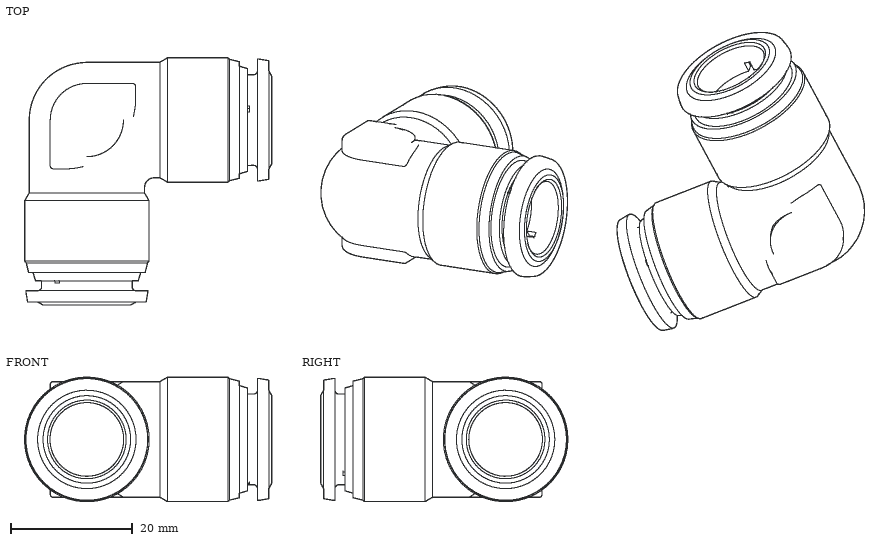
import cadquery as cq


tube_radius = 9.5
sleeve_radius = 10.25
port_length = 40.65 - sleeve_radius
crotch_fillet = 1.5

sleeve_cone_start = 12.0
sleeve_start = 13.25
sleeve_end = 23.17
chamfer_end = 23.45
chamfer_radius = 10.0
step_position = 25.1
step_outer_radius = 9.6
step_inner_radius = 8.85
body_end = 26.42
body_end_radius = 8.45

neck_radius = 7.48
neck_fillet = 0.55
collar_start = 28.0
collar_radius = 10.05
collar_taper_start = 28.3
collar_end = 29.9
collar_end_radius = 9.8
collar_edge_round = 0.2
nose_root_radius = 8.1
nose_end_radius = 7.2

bore_radius = 6.05
bore_mouth_radius = 6.45
bore_mouth_depth = 0.4
bore_floor = step_position

slot_width = 0.98
slot_end = 26.75
slot_tilt_x_port = 14.0
slot_tilt_y_port = -41.0

pad_radius = 6.0
pad_reach = 8.0
pad_edge_fillet = 0.5


def make_tubes():
    """Two equal tubes joined by a spherical outer corner."""
    x_tube = cq.Workplane("YZ").circle(tube_radius).extrude(sleeve_start)
    y_tube = cq.Workplane("XZ").circle(tube_radius).extrude(sleeve_start)
    return x_tube.union(y_tube).union(cq.Workplane("XY").sphere(tube_radius))


def make_pads():
    """L-shaped block with a round web in its inner corner, flush with the tubes above and below."""
    base = cq.Workplane("XY").workplane(offset=-tube_radius)
    height = 2 * tube_radius
    block = (
        base.moveTo(0, pad_radius)
        .lineTo(pad_reach, pad_radius)
        .lineTo(pad_reach, 0)
        .lineTo(0, 0)
        .lineTo(0, -pad_reach)
        .lineTo(-pad_radius, -pad_reach)
        .lineTo(-pad_radius, 0)
        .radiusArc((0, pad_radius), pad_radius)
        .close()
        .extrude(height)
    )
    for corner_x, corner_y in [(pad_reach, pad_radius), (-pad_radius, -pad_reach)]:
        block = block.edges(cq.NearestToPointSelector((corner_x, corner_y, 0))).fillet(pad_edge_fillet)
    inner_edges = cq.selectors.BoxSelector(
        (-pad_edge_fillet, -pad_radius, -height), (pad_radius, pad_edge_fillet, height)
    )
    rim = cq.selectors.InverseSelector(inner_edges)
    block = block.faces("<Z or >Z").edges(rim).fillet(pad_edge_fillet)
    web = base.lineTo(pad_radius, 0).radiusArc((0, -pad_radius), pad_radius).close().extrude(height)
    return block.union(web)


def make_elbow():
    """Tubes and pads, with the inner crotch between the tubes rounded."""
    tubes = make_tubes().edges("%ELLIPSE").fillet(crotch_fillet)
    return tubes.union(make_pads())


def make_port(slot_tilt):
    """Sleeve and collet along +X; the slots are turned by slot_tilt degrees from Z toward +Y."""
    port = (
        cq.Workplane("XY")
        .moveTo(sleeve_cone_start, 0)
        .lineTo(sleeve_cone_start, tube_radius)
        .lineTo(sleeve_start, sleeve_radius)
        .lineTo(sleeve_end, sleeve_radius)
        .lineTo(chamfer_end, chamfer_radius)
        .lineTo(step_position, step_outer_radius)
        .lineTo(step_position, step_inner_radius)
        .lineTo(body_end, body_end_radius)
        .lineTo(body_end, neck_radius)
        .lineTo(collar_start - neck_fillet, neck_radius)
        .radiusArc((collar_start, neck_radius + neck_fillet), -neck_fillet)
        .lineTo(collar_start, collar_radius)
        .lineTo(collar_taper_start, collar_radius)
        .lineTo(collar_end - collar_edge_round, collar_end_radius)
        .radiusArc((collar_end, collar_end_radius - collar_edge_round), collar_edge_round)
        .lineTo(collar_end, nose_root_radius)
        .lineTo(port_length, nose_end_radius)
        .lineTo(port_length, bore_mouth_radius)
        .lineTo(port_length - bore_mouth_depth, bore_radius)
        .lineTo(bore_floor, bore_radius)
        .lineTo(bore_floor, 0)
        .close()
        .revolve(360, (0, 0, 0), (1, 0, 0))
    )
    slots = (
        cq.Workplane("XY")
        .box(slot_end - bore_floor, slot_width, 2 * neck_radius, centered=(False, True, True))
        .translate((bore_floor, 0, 0))
        .rotate((0, 0, 0), (1, 0, 0), -slot_tilt)
    )
    return port.cut(slots)


x_port = make_port(slot_tilt_x_port)
y_port = make_port(slot_tilt_y_port).rotate((0, 0, 0), (0, 0, 1), -90)

result = make_elbow().union(x_port).union(y_port)